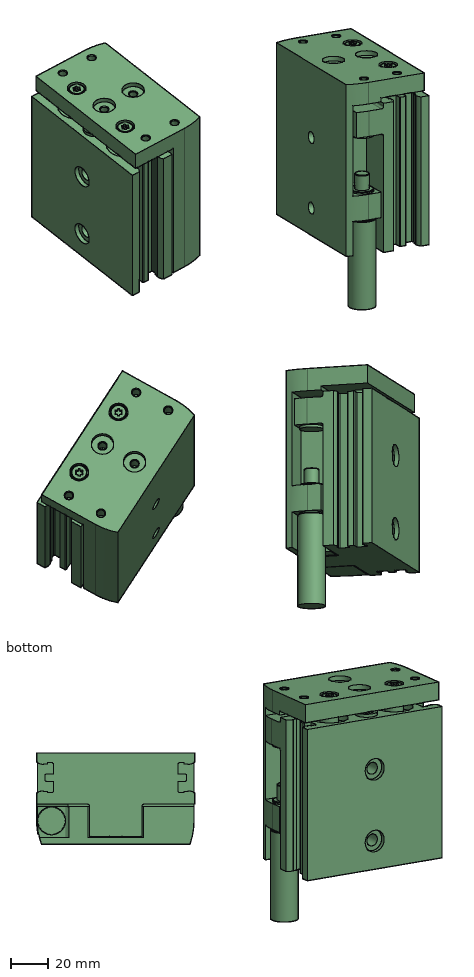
import cadquery as cq
import math


total_height = 128.5
housing_width = 85.0
table_width = 84.0
depth = 49.0

housing_bottom = 31.0
housing_top = 115.4
housing_back = 27.5
housing_height = housing_top - housing_bottom

table_bottom = 31.4
table_front = 2.6
end_plate_thickness = 10.0
end_plate_bottom = total_height - end_plate_thickness
back_plate_front = 45.2
shoulder_front = 28.8
shoulder_bottom = 116.3
rib_inner_x = 14.9
rib_outer_x = 25.0
pocket_fillet = 1.5

corner_start_y = 36.4
corner_inset = 2.2
corner_length = depth - corner_start_y
corner_radius = (corner_length**2 + corner_inset**2) / (2 * corner_inset)

guide_half_width = 14.1
guide_back = 44.7
guide_fillet = 0.9

stop_arm_bottom = 98.0
stop_arm_top = 112.5
stop_arm_back = 43.7
stop_arm_inner_x = 25.7
stop_arm_fillet = 1.3
stop_pad_diameter = 13.0
stop_pad_height = 1.4

slot_center_y = 13.2
slot_mouth_half = 8.4
slot_lip_half = 7.1
slot_lip_depth = 3.9
slot_cavity_half = 7.3
slot_step_depth = 5.9
slot_step_half = 8.1
slot_floor_depth = 9.1
slot_floor_bevel = 0.6
slot_ridge_half = 2.0
slot_ridge_depth = 4.6
slot_ridge_chamfer = 0.5
slot_lip_radius = (slot_lip_depth**2 + (slot_mouth_half - slot_lip_half) ** 2) / (
    2 * (slot_mouth_half - slot_lip_half)
)

mount_hole_diameter = 6.5
centering_diameter = 12.0
centering_depth = 2.6
front_hole_upper_z = 86.7
front_hole_pitch = 40.0
front_hole_heights = [front_hole_upper_z, front_hole_upper_z - front_hole_pitch]

top_hole_front_y = 15.4
top_hole_pitch_y = 20.0
top_hole_rows = [top_hole_front_y, top_hole_front_y + top_hole_pitch_y]
top_hole_x = 35.0
thread_diameter = 4.1
thread_chamfer = 0.45
thread_depth = 7.7

rod_x = 20.4
rod_y = 13.1
rod_diameter = 10.0
rod_insertion = 25.7
rod_recess_diameter = 20.0
rod_recess_depth = 3.9
rod_head_drop = 0.4
rod_head_diameter = 8.6
rod_head_height = 1.5
rod_head_chamfer = 0.4
socket_core_diameter = 3.1
socket_lobe_diameter = 1.0
socket_lobe_circle = 3.3
socket_depth = 1.9
socket_lobes = 6

bumper_y = 8.5
bumper_diameter = 12.0
bumper_disc_top = 117.0
bumper_tip_diameter = 7.8
bumper_tip_top = 118.1

absorber_x = -34.5
absorber_y = corner_start_y
absorber_diameter = 15.0
absorber_body_top = 49.9
absorber_thread_diameter = 12.7
absorber_thread_top = 66.3
absorber_rod_diameter = 8.0
absorber_rod_top = 74.9
absorber_edge_chamfer = 0.4
carrier_arm_bottom = 50.8
carrier_arm_top = 65.1


def box(x_min, x_max, y_min, y_max, z_min, z_max):
    """Box given by its limits along each axis."""
    corner = (x_min, y_min, z_min)
    return cq.Workplane("XY").box(x_max - x_min, y_max - y_min, z_max - z_min, centered=False).translate(corner)


def cylinder(x, y, z_min, z_max, diameter):
    """Upright cylinder."""
    return cq.Workplane("XY", origin=(x, y, z_min)).circle(diameter / 2).extrude(z_max - z_min)


def front_bore(z, diameter, y_end):
    """Cylinder along Y that starts at the mounting face."""
    return cq.Workplane("XZ", origin=(0, 0, z)).circle(diameter / 2).extrude(-y_end)


def rounded_outline(half_width, front, bottom, top):
    """Block whose back corners curve inward, tangent to its sides."""
    middle_y = corner_start_y + corner_length / 2
    middle_inset = corner_radius - math.sqrt(corner_radius**2 - (corner_length / 2) ** 2)
    return (
        cq.Workplane("XY", origin=(0, 0, bottom))
        .moveTo(-half_width, front)
        .lineTo(half_width, front)
        .lineTo(half_width, corner_start_y)
        .threePointArc((half_width - middle_inset, middle_y), (half_width - corner_inset, depth))
        .lineTo(-half_width + corner_inset, depth)
        .threePointArc((-half_width + middle_inset, middle_y), (-half_width, corner_start_y))
        .close()
        .extrude(top - bottom)
    )


def side_slot():
    """Cutter for the slot in the -X side: a rounded mouth, a wider cavity and a ridge on its floor."""
    side = -housing_width / 2
    arc_x = slot_lip_depth / 2
    arc_y = slot_lip_half + slot_lip_radius - math.sqrt(slot_lip_radius**2 - arc_x**2)
    upper_half = (
        cq.Workplane("XY", origin=(side, slot_center_y, housing_bottom))
        .lineTo(0, slot_mouth_half)
        .threePointArc((arc_x, arc_y), (slot_lip_depth, slot_lip_half))
        .lineTo(slot_lip_depth, slot_cavity_half)
        .lineTo(slot_step_depth, slot_cavity_half)
        .lineTo(slot_step_depth, slot_step_half)
        .lineTo(slot_floor_depth - slot_floor_bevel, slot_step_half)
        .lineTo(slot_floor_depth, slot_step_half - slot_floor_bevel)
        .lineTo(slot_floor_depth, 0)
        .close()
        .extrude(housing_height)
    )
    profile = upper_half.union(upper_half.mirror("XZ", (0, slot_center_y, 0)))
    ridge = (
        box(
            side + slot_ridge_depth,
            side + slot_floor_depth,
            slot_center_y - slot_ridge_half,
            slot_center_y + slot_ridge_half,
            housing_bottom,
            housing_top,
        )
        .faces("<X")
        .edges("|Z")
        .chamfer(slot_ridge_chamfer)
    )
    return profile.cut(ridge)


def guide_block():
    """Block on the housing's back with concave fillets where it meets the housing."""
    plain = box(-guide_half_width, guide_half_width, housing_back, guide_back, housing_bottom, housing_top)
    for side in (-1, 1):
        edge_x = side * guide_half_width
        outer_x = edge_x + side * guide_fillet
        strip = box(
            min(edge_x, outer_x),
            max(edge_x, outer_x),
            housing_back,
            housing_back + guide_fillet,
            housing_bottom,
            housing_top,
        )
        rounding = cylinder(outer_x, housing_back + guide_fillet, housing_bottom, housing_top, 2 * guide_fillet)
        plain = plain.union(strip.cut(rounding))
    return plain


def stop_arm():
    """Arm that the shock absorber strikes, with fillets at its root and a pad underneath."""
    left = -housing_width / 2
    arm = rounded_outline(housing_width / 2, housing_back, stop_arm_bottom, stop_arm_top).intersect(
        box(left, -stop_arm_inner_x, housing_back, stop_arm_back, stop_arm_bottom, stop_arm_top)
    )
    for face_z, direction in ((stop_arm_bottom, -1), (stop_arm_top, 1)):
        middle = stop_arm_fillet * (1 - math.sqrt(0.5))
        root = (
            cq.Workplane("YZ", origin=(left, housing_back, face_z))
            .lineTo(stop_arm_fillet, 0)
            .threePointArc((middle, direction * middle), (0, direction * stop_arm_fillet))
            .close()
            .extrude(housing_width / 2 - stop_arm_inner_x)
        )
        arm = arm.union(root)
    pad = cylinder(absorber_x, absorber_y, stop_arm_bottom - stop_pad_height, stop_arm_bottom, stop_pad_diameter)
    return arm.union(pad)


def make_housing():
    """Block with side slots, guide block, stop arm, mounting holes and rod bores."""
    half = housing_width / 2
    body = box(-half, half, 0, housing_back, housing_bottom, housing_top)
    slot = side_slot()
    body = body.cut(slot).cut(slot.mirror("YZ"))
    body = body.union(guide_block()).union(stop_arm())
    for z in front_hole_heights:
        body = body.cut(front_bore(z, mount_hole_diameter, depth))
        body = body.cut(front_bore(z, centering_diameter, centering_depth))
    for side in (-1, 1):
        x = side * rod_x
        body = body.cut(cylinder(x, rod_y, housing_top - rod_insertion, housing_top, rod_diameter))
        body = body.cut(cylinder(x, rod_y, housing_top - rod_recess_depth, housing_top, rod_recess_diameter))
    return body


def threaded_hole(x, y, top):
    """Cutter for a blind hole whose mouth widens by a 45 degree chamfer."""
    radius = thread_diameter / 2
    return (
        cq.Workplane("XZ", origin=(x, y, top))
        .moveTo(0, -thread_depth)
        .lineTo(radius, -thread_depth)
        .lineTo(radius, -thread_chamfer)
        .lineTo(radius + thread_chamfer, 0)
        .lineTo(0, 0)
        .close()
        .revolve(360, (0, 0, 0), (0, 1, 0))
    )


def absorber_pocket(bottom, top):
    """Cutter for a pocket beside the absorber, open to the -X side and the front."""
    pocket = box(-housing_width, -rib_outer_x, 0, back_plate_front, bottom, top)
    inner_edges = pocket.edges(">X and |Y")
    if bottom == table_bottom:
        inner_edges = inner_edges.edges(">Z")
    return inner_edges.fillet(pocket_fillet)


def guide_pocket():
    """Cutter for the pocket around the guide block, with rounded roof corners."""
    pocket = box(-rib_inner_x, rib_inner_x, 0, back_plate_front, table_bottom, shoulder_bottom)
    return pocket.edges("|Y and >Z").fillet(pocket_fillet)


def make_table():
    """End plate and back plate in one piece, with ribs, an absorber arm and mounting holes."""
    half = table_width / 2
    table = rounded_outline(half, table_front, table_bottom, total_height)
    table = table.cut(box(-half, half, 0, shoulder_front, table_bottom, end_plate_bottom))

    for bottom, top in ((table_bottom, carrier_arm_bottom), (carrier_arm_top, shoulder_bottom)):
        table = table.cut(absorber_pocket(bottom, top))
    table = table.cut(guide_pocket())

    for z in front_hole_heights:
        table = table.cut(front_bore(z, mount_hole_diameter, depth))
    for y in top_hole_rows:
        for x in (-top_hole_x, top_hole_x):
            table = table.cut(threaded_hole(x, y, total_height))
        centering = cylinder(0, y, total_height - centering_depth, total_height, centering_diameter)
        table = table.cut(centering).cut(threaded_hole(0, y, total_height - centering_depth))
    for side in (-1, 1):
        table = table.cut(cylinder(side * rod_x, rod_y, end_plate_bottom, total_height, rod_diameter))
    thread_bore = cylinder(
        absorber_x, absorber_y, carrier_arm_bottom, carrier_arm_top, absorber_thread_diameter
    )
    return table.cut(thread_bore)


def make_rod(x):
    """Rod from the housing up through the end plate, with a six-lobed socket in its head."""
    head_top = total_height - rod_head_drop
    shoulder = head_top - rod_head_height
    rod = cylinder(x, rod_y, housing_top - rod_insertion, shoulder, rod_diameter)
    rod = rod.union(cylinder(x, rod_y, shoulder, head_top, rod_head_diameter))
    rod = rod.faces(">Z").chamfer(rod_head_chamfer)
    socket = cylinder(x, rod_y, head_top - socket_depth, head_top, socket_core_diameter)
    lobes = (
        cq.Workplane("XY", origin=(x, rod_y, head_top - socket_depth))
        .polarArray(socket_lobe_circle / 2, 90, 360, socket_lobes)
        .circle(socket_lobe_diameter / 2)
        .extrude(socket_depth)
    )
    return rod.cut(socket).cut(lobes)


def make_bumper():
    """Flat disc with a smaller tip, standing on top of the housing."""
    disc = cylinder(0, bumper_y, housing_top, bumper_disc_top, bumper_diameter)
    tip = cylinder(0, bumper_y, bumper_disc_top, bumper_tip_top, bumper_tip_diameter)
    return disc.union(tip)


def make_absorber():
    """Body, threaded neck and plunger on one axis."""
    body = cylinder(absorber_x, absorber_y, 0, absorber_body_top, absorber_diameter)
    thread = cylinder(absorber_x, absorber_y, absorber_body_top, absorber_thread_top, absorber_thread_diameter)
    rod = cylinder(absorber_x, absorber_y, absorber_thread_top, absorber_rod_top, absorber_rod_diameter)
    absorber = body.faces(">Z").chamfer(absorber_edge_chamfer)
    for section in (thread, rod):
        absorber = absorber.union(section.faces(">Z").chamfer(absorber_edge_chamfer))
    return absorber


housing = make_housing()
table = make_table()
rods = [make_rod(side * rod_x) for side in (-1, 1)]
bumper = make_bumper()
absorber = make_absorber()

result = cq.Compound.makeCompound(
    [housing.val(), table.val(), bumper.val(), absorber.val()] + [rod.val() for rod in rods]
)